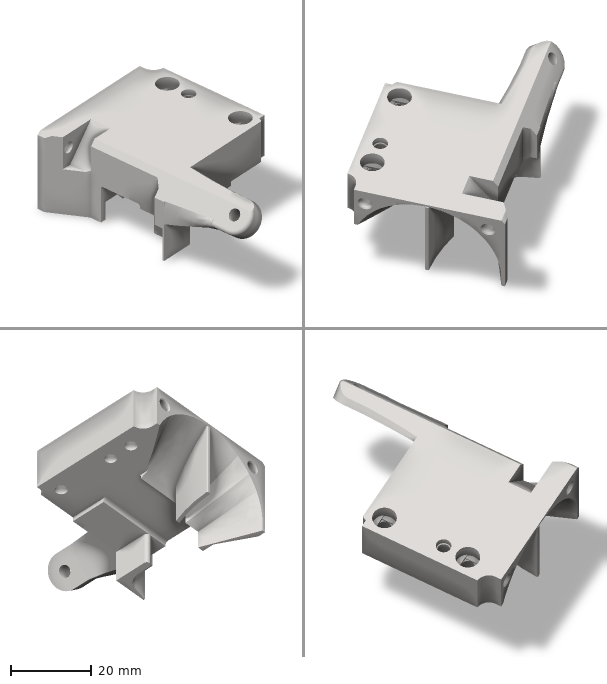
import cadquery as cq
import math

HEIGHT = 23.0
BODY_LENGTH = 39.4
BODY_DEPTH = 42.5
PLATE_BOTTOM = 10.85

FRONT_LAND = 2.2
FRONT_WALL_START = 12.55
FRONT_WALL_Y = 5.5
STEP_START = 34.6
STEP_END = 36.3
STEP_Y = 4.0
LUG_Y = 2.4
EDGE_CHAMFER = 0.9

RELIEF_X = 5.0
RELIEF_Y = 39.3
RELIEF_RADIUS = 3.45
REAR_NOTCH_X = 38.15
REAR_NOTCH_Y = 40.4
REAR_SHOULDER_Y = 39.7
REAR_SHOULDER_BULGE = 0.1

SLOPE_ANGLE = 50.0
SLOPE = math.tan(math.radians(SLOPE_ANGLE))
BEVEL_TOP_Y = 6.9

POCKET_LEFT = 6.4
POCKET_RIGHT = 12.8
POCKET_TOP_Y = 13.05
POCKET_FLOOR = 13.45

WINDOW_LEFT = 16.05
WINDOW_RIGHT = 28.85
WINDOW_FILLET = 0.8

FAN_Y = 20.5
FAN_Z = 2.85
FAN_RADIUS = 19.55
FAN_SCREW_PITCH = 32.0
FAN_SCREW_DIAMETER = 3.2
FAN_SCREW_MOUTH = 3.8
FAN_SCREW_DEPTH = 6.5
DUCT_FRONT_Y = 7.35
DUCT_STEP_Y = 11.9
DUCT_REAR_Y = 28.15
DUCT_STEP_Z = 5.25
DUCT_ROOF = 9.55
DUCT_CORNER_ANGLES = (27.0, 41.5, 57.0, 135.0)

VANE_THICKNESS = 1.1
VANE_LENGTH = 13.2
VANE_MIDDLE_X = 7.9
VANE_INLET_Y = 19.8
VANE_MIDDLE_Y = 18.8
VANE_OUTLET_Y = 17.2
VANE_TOP = 22.1
VANE_NOSE_FILLET = 0.3

BLOCK_REAR_Y = 12.35
SCOOP_Y = 10.4
SCOOP_ARC_X = 33.7
SCOOP_RADIUS = 4.5
SCOOP_ARC_SWEEP = 79.0
NOSE_FILLET = 0.9

SCREW_Y = 37.65
SCREW_DIAMETER = 3.3
COUNTERBORE_XS = (10.5, 34.45)
COUNTERBORE_DIAMETER = 6.2
COUNTERBORE_DEPTH = 3.45
RECESS_STEP = 0.3
STEPPED_HOLE_X = 17.5
STEPPED_HOLE_DIAMETER = 3.2
STEPPED_HOLE_MOUTH = 3.9
STEPPED_HOLE_DEPTH = 1.7

TOTAL_LENGTH = 65.0
ARM_HOLE_X = 60.0
ARM_RADIUS = TOTAL_LENGTH - ARM_HOLE_X
ARM_HOLE_Z = 21.1
ARM_HOLE_Y = BEVEL_TOP_Y - (HEIGHT - ARM_HOLE_Z) / SLOPE
ARM_HOLE_DIAMETER = 3.3
ARM_THICKNESS = 5.1
ARM_FILLET = 1.0
FLARE_END_X = 54.85
FLARE_POWER = 1.4
FLARE_CHIN_POWER = 0.9
FLARE_RISE = 1.05
FLARE_DROP = 3.6
FLARE_THICKENING = 0.65
FLARE_TIP_BROW = (-3.2, 0)
FLARE_ROOT_BROW = (-4.3, 0)
FLARE_TIP_CHIN = (-ARM_RADIUS, -1.8)
FLARE_ROOT_CHIN = (-9.6, -4.2)
FLARE_TIP_BULGE = 0.65
FLARE_ROOT_BULGE = 0.05
FLARE_STEPS = (0.0, 0.5, 1.0)

TURN = math.radians(SLOPE_ANGLE)
ARM_PLANE = cq.Plane(
    origin=(ARM_HOLE_X, ARM_HOLE_Y, ARM_HOLE_Z),
    xDir=(1, 0, 0),
    normal=(0, -math.sin(TURN), math.cos(TURN)),
)

OVER = 0.65


def box(x, y, z):
    """Axis-aligned box from three (low, high) ranges."""
    size = [high - low for low, high in (x, y, z)]
    return cq.Workplane().box(*size, centered=False).translate((x[0], y[0], z[0]))


def cylinder(x, y, bottom, top, diameter):
    """Vertical cylinder."""
    return cq.Workplane("XY", origin=(x, y, bottom)).circle(diameter / 2).extrude(top - bottom)


def make_body():
    """Full-height block with the plan outline of the bracket."""
    diagonal = RELIEF_RADIUS * math.sqrt(0.5)
    relief_start_x = RELIEF_X - RELIEF_RADIUS
    return (
        cq.Workplane()
        .lineTo(FRONT_LAND, 0)
        .lineTo(FRONT_WALL_START, FRONT_WALL_Y)
        .lineTo(STEP_START, FRONT_WALL_Y)
        .lineTo(STEP_END, STEP_Y)
        .lineTo(STEP_END, LUG_Y)
        .lineTo(BODY_LENGTH, LUG_Y)
        .lineTo(BODY_LENGTH, REAR_SHOULDER_Y)
        .threePointArc(
            (
                (REAR_NOTCH_X + BODY_LENGTH) / 2 + REAR_SHOULDER_BULGE,
                (REAR_NOTCH_Y + REAR_SHOULDER_Y) / 2 + REAR_SHOULDER_BULGE,
            ),
            (REAR_NOTCH_X, REAR_NOTCH_Y),
        )
        .lineTo(REAR_NOTCH_X, BODY_DEPTH)
        .lineTo(RELIEF_X, BODY_DEPTH)
        .threePointArc(
            (relief_start_x + diagonal, RELIEF_Y + RELIEF_RADIUS - diagonal),
            (relief_start_x, RELIEF_Y),
        )
        .lineTo(0, RELIEF_Y)
        .close()
        .extrude(HEIGHT)
    )


def cut_underside(body):
    """Clear the window, the rear and the space behind the outlet block."""
    window = box((WINDOW_LEFT, WINDOW_RIGHT), (-OVER, BODY_DEPTH + OVER), (-OVER, PLATE_BOTTOM))
    window = window.edges("|Y and >Z").fillet(WINDOW_FILLET)
    rear = box((-OVER, BODY_LENGTH + OVER), (DUCT_REAR_Y, BODY_DEPTH + OVER), (-OVER, PLATE_BOTTOM))
    behind_block = box(
        (WINDOW_RIGHT, BODY_LENGTH + OVER), (BLOCK_REAR_Y, DUCT_REAR_Y), (-OVER, DUCT_ROOF)
    )
    return body.cut(window).cut(rear).cut(behind_block)


def duct_inlet():
    """Round-topped inlet section, open downward."""

    def rim(angle):
        turn = math.radians(angle)
        return cq.Vector(0, FAN_Y - FAN_RADIUS * math.cos(turn), FAN_Z + FAN_RADIUS * math.sin(turn))

    angles = (0.0, *DUCT_CORNER_ANGLES, 180.0)
    arcs = [
        cq.Edge.makeThreePointArc(rim(a), rim((a + b) / 2), rim(b)) for a, b in zip(angles, angles[1:])
    ]
    front_foot = cq.Vector(0, FAN_Y - FAN_RADIUS, -OVER)
    rear_foot = cq.Vector(0, FAN_Y + FAN_RADIUS, -OVER)
    sides = [
        cq.Edge.makeLine(rim(180), rear_foot),
        cq.Edge.makeLine(rear_foot, front_foot),
    ]
    return cq.Wire.assembleEdges([cq.Edge.makeLine(front_foot, rim(0)), *arcs, *sides])


def duct_outlet():
    """Stepped outlet section, open downward, with one edge for each inlet edge."""
    corners = [
        (DUCT_FRONT_Y, -OVER),
        (DUCT_FRONT_Y, FAN_Z),
        (DUCT_FRONT_Y, DUCT_STEP_Z),
        (DUCT_STEP_Y, DUCT_STEP_Z),
        (DUCT_STEP_Y, DUCT_ROOF),
        (DUCT_REAR_Y, DUCT_ROOF),
        (DUCT_REAR_Y, FAN_Z),
        (DUCT_REAR_Y, -OVER),
    ]
    return cq.Wire.makePolygon([cq.Vector(WINDOW_LEFT, y, z) for y, z in corners], close=True)


def make_duct():
    """Air passage from the fan inlet to the window."""
    return cq.Workplane(cq.Solid.makeLoft([duct_inlet(), duct_outlet()], True))


def make_vane():
    """Curved vane hanging from the duct roof, with a rounded leading edge."""
    return (
        cq.Workplane()
        .moveTo(0, VANE_INLET_Y)
        .threePointArc((VANE_MIDDLE_X, VANE_MIDDLE_Y), (VANE_LENGTH, VANE_OUTLET_Y))
        .lineTo(VANE_LENGTH, VANE_OUTLET_Y + VANE_THICKNESS)
        .threePointArc(
            (VANE_MIDDLE_X, VANE_MIDDLE_Y + VANE_THICKNESS),
            (0, VANE_INLET_Y + VANE_THICKNESS),
        )
        .close()
        .extrude(VANE_TOP)
        .edges("|Z and <X")
        .fillet(VANE_NOSE_FILLET)
    )


def make_scoop():
    """Concave space in front of the outlet block."""
    sweep = math.radians(SCOOP_ARC_SWEEP)
    center_y = SCOOP_Y - SCOOP_RADIUS

    def on_arc(turn):
        return (SCOOP_ARC_X + SCOOP_RADIUS * math.sin(turn), center_y + SCOOP_RADIUS * math.cos(turn))

    arc_end = on_arc(sweep)
    end_x = arc_end[0] + (arc_end[1] - LUG_Y) / math.tan(sweep)
    return (
        cq.Workplane("XY", origin=(0, 0, -OVER))
        .moveTo(WINDOW_RIGHT - OVER, SCOOP_Y)
        .lineTo(SCOOP_ARC_X, SCOOP_Y)
        .threePointArc(on_arc(sweep / 2), arc_end)
        .lineTo(end_x, LUG_Y)
        .lineTo(end_x, 0)
        .lineTo(WINDOW_RIGHT - OVER, 0)
        .close()
        .extrude(DUCT_ROOF + OVER)
    )


def round_block_nose(body):
    """Round the two upright edges of the outlet block that face the window."""
    nose = cq.selectors.BoxSelector(
        (WINDOW_RIGHT - OVER, SCOOP_Y - OVER, 0),
        (WINDOW_RIGHT + OVER, BLOCK_REAR_Y + OVER, DUCT_ROOF),
    )
    return body.edges("|Z").edges(nose).fillet(NOSE_FILLET)


def slope_cutter(x_range, top_y, floor):
    """Everything in front of a sloped plane and above a floor level."""
    top = HEIGHT + OVER
    return (
        cq.Workplane("YZ", origin=(x_range[0], 0, 0))
        .moveTo(top_y - (HEIGHT - floor) / SLOPE, floor)
        .lineTo(top_y + OVER / SLOPE, top)
        .lineTo(-BODY_DEPTH, top)
        .lineTo(-BODY_DEPTH, floor)
        .close()
        .extrude(x_range[1] - x_range[0])
    )


def make_edge_chamfer():
    """Wedge that breaks the top front edge of the inlet wall."""
    return (
        cq.Workplane("YZ")
        .moveTo(0, HEIGHT - EDGE_CHAMFER)
        .lineTo(EDGE_CHAMFER, HEIGHT)
        .lineTo(0, HEIGHT)
        .close()
        .extrude(POCKET_LEFT)
    )


def make_fan_screw(y):
    """Blind hole with a countersunk mouth in the inlet face."""
    z = FAN_Z + FAN_SCREW_PITCH / 2
    sink = (FAN_SCREW_MOUTH - FAN_SCREW_DIAMETER) / 2
    hole = cq.Workplane("YZ", origin=(0, y, z)).circle(FAN_SCREW_DIAMETER / 2).extrude(FAN_SCREW_DEPTH)
    mouth = cq.Solid.makeCone(
        FAN_SCREW_MOUTH / 2, FAN_SCREW_DIAMETER / 2, sink, cq.Vector(0, y, z), cq.Vector(1, 0, 0)
    )
    return hole.union(cq.Workplane(mouth))


def make_counterbored_hole(x):
    """Counterbore with a cross slot and a square step above the through hole."""
    half = SCREW_DIAMETER / 2
    floor = HEIGHT - COUNTERBORE_DEPTH
    square_floor = floor - 2 * RECESS_STEP
    bore = cylinder(x, SCREW_Y, floor, HEIGHT + OVER, COUNTERBORE_DIAMETER)
    slot_blank = cylinder(x, SCREW_Y, floor - RECESS_STEP, floor, COUNTERBORE_DIAMETER)
    slot = slot_blank.intersect(
        box((x - half, x + half), (SCREW_Y - COUNTERBORE_DIAMETER, BODY_DEPTH), (0, HEIGHT))
    )
    square = box((x - half, x + half), (SCREW_Y - half, SCREW_Y + half), (square_floor, floor))
    hole = cylinder(x, SCREW_Y, 0, floor, SCREW_DIAMETER)
    return bore.union(slot).union(square).union(hole)


def make_stepped_hole():
    """Through hole with a slightly wider mouth."""
    hole = cylinder(STEPPED_HOLE_X, SCREW_Y, 0, HEIGHT + OVER, STEPPED_HOLE_DIAMETER)
    mouth_floor = HEIGHT - STEPPED_HOLE_DEPTH
    return hole.union(cylinder(STEPPED_HOLE_X, SCREW_Y, mouth_floor, HEIGHT + OVER, STEPPED_HOLE_MOUTH))


def make_arm_tip():
    """Round-ended bar with a filleted outer edge."""
    start = FLARE_END_X - ARM_HOLE_X
    return (
        cq.Workplane(ARM_PLANE)
        .moveTo(start, -ARM_RADIUS)
        .lineTo(0, -ARM_RADIUS)
        .threePointArc((ARM_RADIUS, 0), (0, ARM_RADIUS))
        .lineTo(start, ARM_RADIUS)
        .close()
        .extrude(-ARM_THICKNESS)
        .faces(cq.selectors.DirectionMinMaxSelector(ARM_PLANE.zDir, True))
        .edges("not(<X)")
        .fillet(ARM_FILLET)
    )


def flare_section(blend):
    """Arm section in the YZ plane; blend runs from 0 at the tip to 1 at the body."""
    widen = blend**FLARE_POWER
    x = FLARE_END_X + (BODY_LENGTH - FLARE_END_X) * blend - ARM_HOLE_X
    chin_blend = blend**FLARE_CHIN_POWER
    upper = ARM_RADIUS + FLARE_RISE * widen
    lower = -ARM_RADIUS - FLARE_DROP * widen
    back = -ARM_THICKNESS - FLARE_THICKENING * widen
    bulge = FLARE_TIP_BULGE + (FLARE_ROOT_BULGE - FLARE_TIP_BULGE) * blend
    brow = [tip + (root - tip) * blend for tip, root in zip(FLARE_TIP_BROW, FLARE_ROOT_BROW)]
    chin = [tip + (root - tip) * chin_blend for tip, root in zip(FLARE_TIP_CHIN, FLARE_ROOT_CHIN)]
    cheek = ((brow[0] + chin[0]) / 2 - bulge, (brow[1] + chin[1]) / 2 + bulge)

    def place(up, out):
        return ARM_PLANE.toWorldCoords((x, up, out))

    corners = [chin, (lower, back), (upper, back), (upper, 0), brow]
    sides = [cq.Edge.makeLine(place(*a), place(*b)) for a, b in zip(corners, corners[1:])]
    rounded_front = cq.Edge.makeThreePointArc(place(*brow), place(*cheek), place(*chin))
    return cq.Wire.assembleEdges([rounded_front, *sides])


def make_arm():
    """Tip and flare, trimmed flush with the top of the body."""
    flare = cq.Workplane(cq.Solid.makeLoft([flare_section(step) for step in FLARE_STEPS]))
    above = box((0, TOTAL_LENGTH + OVER), (-BODY_DEPTH, BODY_DEPTH), (HEIGHT, 2 * HEIGHT))
    return make_arm_tip().union(flare).cut(above)


result = round_block_nose(cut_underside(make_body()).cut(make_scoop()))
result = result.cut(make_duct()).union(make_vane())
result = result.cut(slope_cutter((POCKET_RIGHT, BODY_LENGTH + OVER), BEVEL_TOP_Y, 0))
result = result.cut(slope_cutter((POCKET_LEFT, POCKET_RIGHT), POCKET_TOP_Y, POCKET_FLOOR))
result = result.cut(make_edge_chamfer()).union(make_arm())
for side in (-1, 1):
    result = result.cut(make_fan_screw(FAN_Y + side * FAN_SCREW_PITCH / 2))
for hole_x in COUNTERBORE_XS:
    result = result.cut(make_counterbored_hole(hole_x))
result = result.cut(make_stepped_hole())
result = result.cut(
    cq.Workplane(ARM_PLANE).circle(ARM_HOLE_DIAMETER / 2).extrude(2 * ARM_THICKNESS, both=True)
)